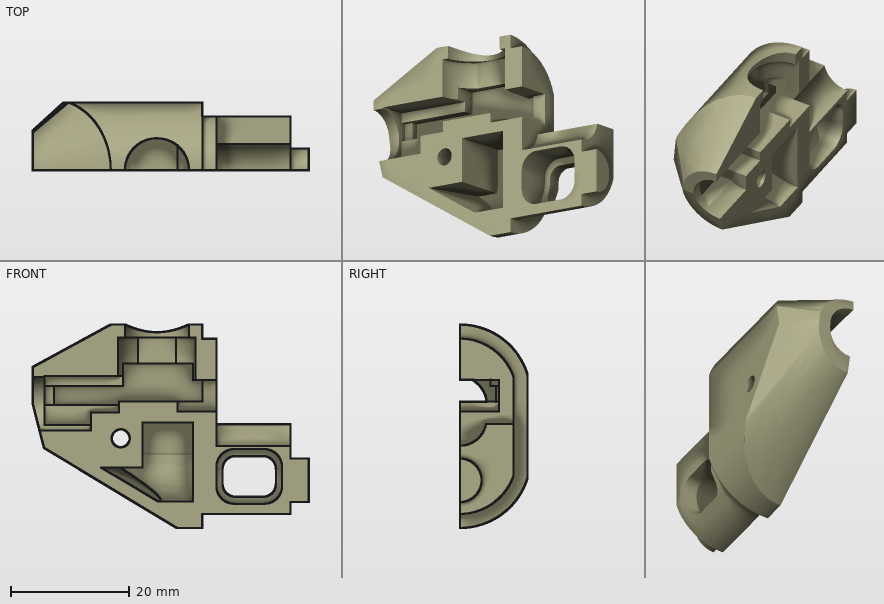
import cadquery as cq
import math

height = 34.4
depth = 11.5
corner_radius = 12.0
shell_end = 28.65
rim = 2.4
collar_end = 31.08
arm_end = 43.6
arm_top = 17.55
top_start = 13.2
bottom_start = 24.35

nose_side_x = 5.25
nose_top_side_x = 6.05
nose_bottom_side_x = 16.42
nose_side_z = 21.7
mouth_top = 27.2
mouth_bottom = 13.55
mouth_bottom_x = 1.9
mouth_depth = 6.65

bore_z = 21.0
bore_radius = 4.53
bore_end = 9.9
cavity_start = 2.05
cavity_floor = 17.4
cavity_roof = 25.7
cavity_depth = 5.23
lower_step_top = 19.55
upper_step_x = 14.6
upper_step_top = 21.35
room_start = 15.3
room_end = 27.1
room_roof = 27.8
groove_floor = 20.8
groove_roof = 24.05
groove_depth = 7.4
groove_end_x = 3.65
groove_end_depth = 6.15
exit_start = 24.45
exit_floor = 19.7
exit_roof = 25.0
exit_depth = 6.63

socket_x = 21.0
socket_mouth_radius = 5.4
socket_radius = 6.55
socket_depth = 5.7
socket_roof = 32.2

pocket_left = 18.55
pocket_top = 17.85
pocket_bottom = 4.5
pocket_bend_x = 21.25
pocket_tip_x = 11.53
pocket_tip_z = 10.25
pocket_center_z = 12.5
pocket_depth = 10.25
pocket_draft = 1 / 6

window_x = 36.6
window_z = 8.73
window_width = 11.1
window_height = 9.25
window_fillet = 3.05
hole_width = 8.95
hole_height = 6.8
hole_fillet = 2.1
shoulder_z = 10.0
shoulder_depth = 6.63
arm_channel_radius = 4.53
arm_channel_z = 18.45
tab_radius = 3.7
tab_z = 8.05
overall_length = 46.65
pin_x = 14.9
pin_z = 15.15
pin_diameter = 3.0

CURVE_STEPS = 8


def box(x0, x1, y1, z0, z1):
    """Block from the split plane back to y1."""
    return cq.Workplane("XY").box(x1 - x0, y1, z1 - z0, centered=False).translate((x0, 0, z0))


def cylinder_x(radius, z, x0, x1):
    """Round bar along X centred on the split plane."""
    return cq.Workplane("YZ", origin=(x0, 0, 0)).center(0, z).circle(radius).extrude(x1 - x0)


def plate(points, thickness):
    """XZ outline extruded back from the split plane."""
    return cq.Workplane("XZ").polyline(points).close().extrude(-thickness)


def rounded_bar(inset, x0, x1):
    """Shell section moved inwards by inset."""
    radius = corner_radius - inset
    flat_y = depth - inset
    rise = math.sqrt(radius**2 - flat_y**2)
    low = corner_radius - rise
    high = height - corner_radius + rise
    mid = math.radians(45)
    arc_y = radius * math.sin(mid)
    arc_z = radius * math.cos(mid)
    return (
        cq.Workplane("YZ", origin=(x0, 0, 0))
        .moveTo(0, inset)
        .threePointArc((arc_y, corner_radius - arc_z), (flat_y, low))
        .lineTo(flat_y, high)
        .threePointArc((arc_y, height - corner_radius + arc_z), (0, height - inset))
        .close()
        .extrude(x1 - x0)
    )


def curve(point_at, start, end):
    """Spline through a parametric curve."""
    step = (end - start) / CURVE_STEPS
    points = [cq.Vector(*point_at(start + i * step)) for i in range(CURVE_STEPS + 1)]
    return cq.Edge.makeSpline(points)


def section_edges(edge):
    """Edge closed by its projection on the split plane."""
    start = edge.startPoint()
    end = edge.endPoint()
    start_foot = cq.Vector(start.x, 0, start.z)
    end_foot = cq.Vector(end.x, 0, end.z)
    edges = [edge, cq.Edge.makeLine(end, end_foot), cq.Edge.makeLine(end_foot, start_foot)]
    if start.y > 0:
        edges.append(cq.Edge.makeLine(start_foot, start))
    return edges


def ruled_solid(mouth_edge, shell_edge):
    """Solid with straight lines joining matching points of two sections."""
    mouth = section_edges(mouth_edge)
    shell = section_edges(shell_edge)
    faces = [cq.Face.makeRuledSurface(near, far) for near, far in zip(mouth, shell)]
    for edges in (mouth, shell):
        faces.append(cq.Face.makeFromWires(cq.Wire.assembleEdges(edges)))
    return cq.Workplane("XY").newObject([cq.Solid.makeSolid(cq.Shell.makeShell(faces))])


def nose_half(side_x, edge_x, edge_z, sign, lip_x, lip_z):
    """Ruled solid from the mouth to the shell, above (+1) or below (-1) the seam."""
    center_z = corner_radius if sign < 0 else height - corner_radius
    flat_angle = math.asin(depth / corner_radius)
    flat_z = center_z + sign * corner_radius * math.cos(flat_angle)

    def rim_point(angle):
        z = center_z + sign * corner_radius * math.cos(angle)
        share = (z - flat_z) / (edge_z - flat_z)
        return (side_x + share * (edge_x - side_x), corner_radius * math.sin(angle), z)

    def mouth_point(angle):
        share = math.cos(angle)
        return (lip_x * share, mouth_depth * math.sin(angle), bore_z + share * (lip_z - bore_z))

    side = cq.Edge.makeLine(
        cq.Vector(*rim_point(flat_angle)), cq.Vector(nose_side_x, depth, nose_side_z)
    )
    arc_part = ruled_solid(curve(mouth_point, 0, flat_angle), curve(rim_point, 0, flat_angle))
    side_part = ruled_solid(curve(mouth_point, flat_angle, math.pi / 2), side)
    return arc_part.union(side_part)


def make_shell():
    flat_drop = corner_radius - math.sqrt(corner_radius**2 - depth**2)
    side_outline = [
        (nose_bottom_side_x, flat_drop), (nose_side_x, nose_side_z),
        (nose_top_side_x, height - flat_drop), (top_start, height),
        (shell_end, height), (shell_end, 0), (bottom_start, 0),
    ]
    shell = rounded_bar(0, 0, shell_end).intersect(plate(side_outline, depth))
    upper_nose = nose_half(nose_top_side_x, top_start, height, 1, 0, mouth_top)
    lower_nose = nose_half(nose_bottom_side_x, bottom_start, 0, -1, mouth_bottom_x, mouth_bottom)
    return shell.union(upper_nose).union(lower_nose)


def make_arm():
    collar = rounded_bar(rim, shell_end, collar_end)
    arm = rounded_bar(rim, shell_end, arm_end).intersect(box(shell_end, arm_end, depth, 0, arm_top))
    arm = arm.cut(cylinder_x(arm_channel_radius, arm_channel_z, collar_end, arm_end))
    tab = cylinder_x(tab_radius, tab_z, arm_end, overall_length)
    tab = tab.intersect(box(arm_end, overall_length, depth, 0, height))
    return collar.union(arm).union(tab)


def make_window():
    """Opening through the arm with a shoulder that follows the rounded wall."""
    def opening(width, tall, fillet):
        block = cq.Workplane("XZ", origin=(window_x, 0, window_z)).rect(width, tall).extrude(-depth)
        return block.edges("|Y").fillet(fillet)

    start = window_x - window_width / 2
    end = window_x + window_width / 2
    curved = cylinder_x(shoulder_depth, shoulder_z, start, end)
    upright = box(start, end, shoulder_depth, shoulder_z, arm_top)
    recess = opening(window_width, window_height, window_fillet)
    recess = recess.intersect(curved.union(upright))
    return recess.union(opening(hole_width, hole_height, hole_fillet))


def make_cavity():
    step_outline = [
        (cavity_start, cavity_floor), (bore_end, cavity_floor), (bore_end, lower_step_top),
        (upper_step_x, lower_step_top), (upper_step_x, upper_step_top),
        (room_start, upper_step_top), (room_start, cavity_roof), (cavity_start, cavity_roof),
    ]
    cavity = plate(step_outline, cavity_depth)
    bore = cylinder_x(bore_radius, bore_z, 0, bore_end)
    cavity = cavity.union(bore.intersect(box(0, bore_end, depth, 0, cavity_roof)))
    cavity = cavity.union(box(cavity_start, groove_end_x, groove_end_depth, groove_floor, groove_roof))
    cavity = cavity.union(box(groove_end_x, upper_step_x, groove_depth, groove_floor, groove_roof))
    cavity = cavity.union(box(upper_step_x, room_start, groove_depth, upper_step_top, groove_roof))
    cavity = cavity.union(box(room_start, room_end, groove_depth, upper_step_top, room_roof))
    cavity = cavity.union(box(room_end, shell_end, groove_depth, upper_step_top, exit_roof))
    return cavity.union(box(exit_start, collar_end, exit_depth, exit_floor, exit_roof))


def make_socket():
    def bore(radius, z0, z1):
        return cq.Workplane("XY", origin=(socket_x, 0, z0)).circle(radius).extrude(z1 - z0)

    left = socket_x - socket_radius
    right = socket_x + socket_radius
    wide = bore(socket_radius, exit_roof, socket_roof)
    wide = wide.intersect(box(left, right, socket_depth, exit_roof, socket_roof))
    wide = wide.cut(box(left, room_start, depth, 0, cavity_roof))
    return wide.union(bore(socket_mouth_radius, socket_roof, height))


def make_pocket():
    def outline(lean_x):
        return [
            (pocket_left, pocket_top), (room_end, pocket_top), (room_end, pocket_bottom),
            (pocket_bend_x + lean_x, pocket_bottom), (pocket_tip_x + lean_x, pocket_tip_z),
            (pocket_left, pocket_tip_z),
        ]

    slant = math.atan2(pocket_tip_z - pocket_bottom, pocket_bend_x - pocket_tip_x)
    lean = pocket_depth * pocket_draft / math.sin(slant)
    front = outline(0)
    back = outline(lean)
    tapered = (
        cq.Workplane("XZ").polyline(front).close()
        .workplane(offset=-pocket_depth).polyline(back).close().loft(ruled=True)
    )
    length = room_end - pocket_tip_x
    curved = (
        cq.Workplane("YZ", origin=(pocket_tip_x, 0, pocket_center_z))
        .ellipse(pocket_depth, pocket_center_z - pocket_bottom).extrude(length)
    )
    upright = box(pocket_tip_x, room_end, pocket_depth, pocket_center_z, pocket_top)
    return tapered.intersect(curved.union(upright))


pin_hole = cq.Workplane("XZ", origin=(pin_x, 0, pin_z)).circle(pin_diameter / 2).extrude(-depth)

result = make_shell().union(make_arm())
for opening in (make_cavity(), make_socket(), make_pocket(), make_window(), pin_hole):
    result = result.cut(opening)